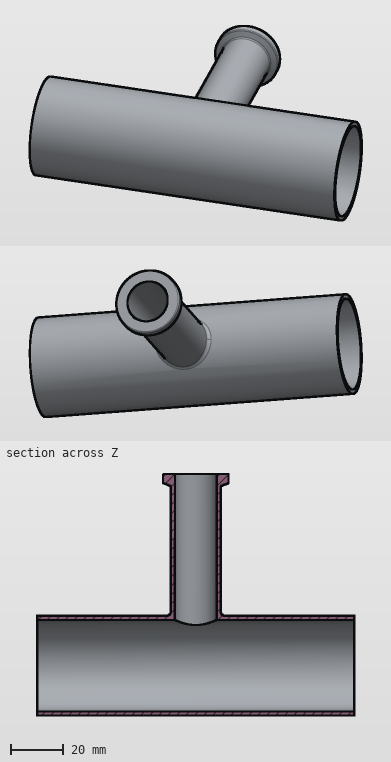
import cadquery as cq
import math

run_length = 120.6
run_outer_diameter = 38.1
run_bore_diameter = 34.7

branch_outer_diameter = 19.1
branch_bore_diameter = 15.8
weld_radius = 1.5

ferrule_diameter = 25.0
ferrule_length = 12.7
rim_thickness = 3.6
rim_edge_radius = 0.5
taper_angle = 20.0
neck_radius = 0.6

overall_depth = 92.0
edge_tolerance = 0.1

run_radius = run_outer_diameter / 2
branch_radius = branch_outer_diameter / 2
ferrule_radius = ferrule_diameter / 2
end_y = overall_depth - run_radius
joint_y = end_y - ferrule_length


def run_cylinder(diameter):
    """Cylinder along X over the full length of the run."""
    return cq.Workplane("YZ").circle(diameter / 2).extrude(run_length / 2, both=True)


def branch_cylinder(diameter, length):
    """Cylinder starting on the run axis and reaching out along +Y."""
    return cq.Workplane("XZ").circle(diameter / 2).extrude(-length)


def edges_between(y_low, y_high):
    """Selector for edges around the branch whose centres lie between two Y positions."""
    return cq.selectors.BoxSelector(
        (-ferrule_radius, y_low, -ferrule_radius),
        (ferrule_radius, y_high, ferrule_radius),
    )


def rings_at(y):
    """Selector for the circular edges lying at one Y position."""
    return edges_between(y - edge_tolerance, y + edge_tolerance)


def welded_tee():
    """Solid run and branch, blended where they meet."""
    run = run_cylinder(run_outer_diameter)
    branch = branch_cylinder(branch_outer_diameter, joint_y)
    return run.union(branch).edges(edges_between(0, run_radius)).fillet(weld_radius)


def ferrule():
    """Clamp end: a rim with rounded edges and a tapered back running into the neck."""
    rim_back_y = end_y - rim_thickness
    taper_length = (ferrule_radius - branch_radius) * math.tan(math.radians(taper_angle))
    taper_foot_y = rim_back_y - taper_length
    profile = (
        cq.Workplane("XY")
        .moveTo(0, joint_y)
        .lineTo(branch_radius, joint_y)
        .lineTo(branch_radius, taper_foot_y)
        .lineTo(ferrule_radius, rim_back_y)
        .lineTo(ferrule_radius, end_y)
        .lineTo(0, end_y)
        .close()
    )
    body = profile.revolve(360, (0, 0, 0), (0, 1, 0))
    for rim_edge_y in (rim_back_y, end_y):
        body = body.edges(rings_at(rim_edge_y)).fillet(rim_edge_radius)
    return body.edges(rings_at(taper_foot_y)).fillet(neck_radius)


result = (
    welded_tee()
    .union(ferrule())
    .cut(run_cylinder(run_bore_diameter))
    .cut(branch_cylinder(branch_bore_diameter, end_y))
)